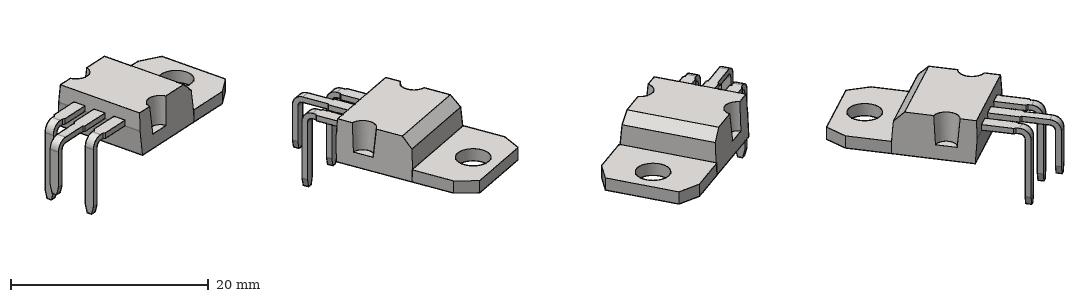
import cadquery as cq
import math


total_length = 23.62

body_width = 10.65
housing_height = 4.8
housing_length = 8.9
side_draft = math.tan(math.radians(4))
front_draft = math.tan(math.radians(3))
parting_height = 2.79
rear_chamfer = 1.15

notch_radius = 1.42
notch_depth = 3.21
notch_draft = math.tan(math.radians(5))
notch_y = -5.72

tab_length = 7.09
tab_thickness = 1.42
tab_corner_length = 2.3
tab_corner_width = tab_corner_length * math.tan(math.radians(30))
hole_diameter = 3.6
hole_to_tab_end = 2.98

lead_pitch = 2.53
lead_thickness = 0.64
lead_width = 1.4
pin_width = 1.05
shoulder_reach = 3.33
bend_radius = 1.2
tip_length = 0.95
tip_width = 0.55
middle_lead_end_y = tab_length - total_length
outer_lead_end_y = middle_lead_end_y + lead_pitch
outer_tip_z = -5.31
middle_tip_z = outer_tip_z + lead_pitch

housing_front_y = -housing_length
lead_top_z = parting_height + lead_thickness


def make_tab():
    half_width = body_width / 2
    end_half_width = half_width - tab_corner_width
    corner_y = tab_length - tab_corner_length
    plate = (
        cq.Workplane("XY")
        .polyline([
            (-half_width, 0),
            (half_width, 0),
            (half_width, corner_y),
            (end_half_width, tab_length),
            (-end_half_width, tab_length),
            (-half_width, corner_y),
        ])
        .close()
        .extrude(tab_thickness)
    )
    hole = (
        cq.Workplane("XY")
        .center(0, tab_length - hole_to_tab_end)
        .circle(hole_diameter / 2)
        .extrude(tab_thickness)
    )
    return plate.cut(hole)


def make_housing():
    chamfer_z = housing_height - rear_chamfer
    chamfer_y = -(chamfer_z - tab_thickness) * side_draft
    front_top_y = housing_front_y + (housing_height - parting_height) * front_draft
    front_bottom_y = housing_front_y + parting_height * front_draft
    lengthwise = (
        cq.Workplane("YZ")
        .polyline([
            (0, 0),
            (0, tab_thickness),
            (chamfer_y, chamfer_z),
            (chamfer_y - rear_chamfer, housing_height),
            (front_top_y, housing_height),
            (housing_front_y, parting_height),
            (front_bottom_y, 0),
        ])
        .close()
        .extrude(body_width / 2, both=True)
    )

    bottom_half_width = body_width / 2
    top_half_width = bottom_half_width - housing_height * side_draft
    crosswise = (
        cq.Workplane("XZ")
        .polyline([
            (-bottom_half_width, 0),
            (bottom_half_width, 0),
            (top_half_width, housing_height),
            (-top_half_width, housing_height),
        ])
        .close()
        .extrude(housing_length)
    )
    housing = lengthwise.intersect(crosswise)

    for side in (-1, 1):
        housing = housing.cut(make_notch_cutter(side * body_width / 2))
    return housing


def make_notch_cutter(x):
    floor_radius = notch_radius - notch_depth * notch_draft
    floor_center = cq.Vector(x, notch_y, housing_height - notch_depth)
    cone = cq.Solid.makeCone(floor_radius, notch_radius, notch_depth, floor_center)
    return cq.Workplane(obj=cone)


def make_lead(x, end_y, tip_z):
    bent_strip = make_bent_strip(end_y, tip_z)
    plan = make_lead_plan(end_y, tip_z)
    front = make_lead_front(tip_z)
    return bent_strip.intersect(plan).intersect(front).translate((x, 0, 0))


def make_bent_strip(end_y, tip_z):
    bend_y = end_y + bend_radius
    bend_z = lead_top_z - bend_radius
    inner_radius = bend_radius - lead_thickness
    diagonal = math.sqrt(0.5)
    return (
        cq.Workplane("YZ")
        .moveTo(housing_front_y, parting_height)
        .lineTo(housing_front_y + lead_thickness * front_draft, lead_top_z)
        .lineTo(bend_y, lead_top_z)
        .threePointArc(
            (bend_y - bend_radius * diagonal, bend_z + bend_radius * diagonal),
            (end_y, bend_z),
        )
        .lineTo(end_y, tip_z)
        .lineTo(end_y + lead_thickness, tip_z)
        .lineTo(end_y + lead_thickness, bend_z)
        .threePointArc(
            (bend_y - inner_radius * diagonal, bend_z + inner_radius * diagonal),
            (bend_y, parting_height),
        )
        .close()
        .extrude(lead_width / 2, both=True)
    )


def make_lead_plan(end_y, tip_z):
    half_lead = lead_width / 2
    half_pin = pin_width / 2
    shoulder_y = housing_front_y - shoulder_reach
    pin_y = shoulder_y - (half_lead - half_pin)
    return (
        cq.Workplane("XY")
        .workplane(offset=tip_z)
        .polyline([
            (-half_lead, 0),
            (-half_lead, shoulder_y),
            (-half_pin, pin_y),
            (-half_pin, end_y),
            (half_pin, end_y),
            (half_pin, pin_y),
            (half_lead, shoulder_y),
            (half_lead, 0),
        ])
        .close()
        .extrude(lead_top_z - tip_z)
    )


def make_lead_front(tip_z):
    half_lead = lead_width / 2
    half_pin = pin_width / 2
    half_tip = tip_width / 2
    taper_z = tip_z + tip_length
    bend_z = lead_top_z - bend_radius
    return (
        cq.Workplane("XZ")
        .polyline([
            (-half_tip, tip_z),
            (half_tip, tip_z),
            (half_pin, taper_z),
            (half_pin, bend_z),
            (half_lead, bend_z),
            (half_lead, lead_top_z),
            (-half_lead, lead_top_z),
            (-half_lead, bend_z),
            (-half_pin, bend_z),
            (-half_pin, taper_z),
        ])
        .close()
        .extrude(-middle_lead_end_y)
    )


tab = make_tab()
housing = make_housing()

leads = []
for column in (-1, 0, 1):
    if column == 0:
        lead = make_lead(0, middle_lead_end_y, middle_tip_z)
    else:
        lead = make_lead(column * lead_pitch, outer_lead_end_y, outer_tip_z)
    leads.append(lead.val())

result = cq.Compound.makeCompound([tab.val(), housing.val(), *leads])